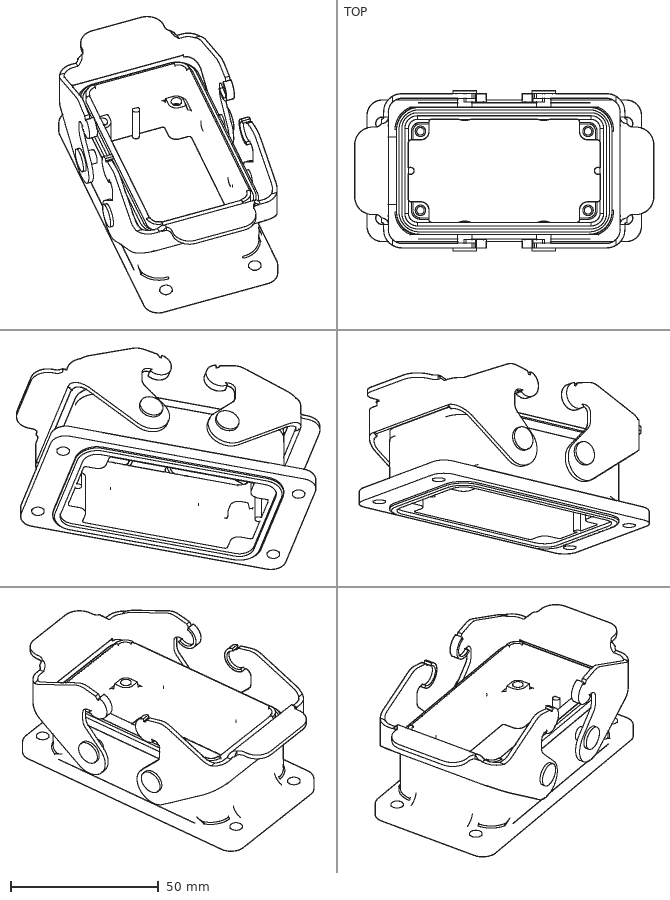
import cadquery as cq
import math


flange_half_x, flange_half_y, flange_corner = 46.5, 24.0, 5.3
flange_bottom, flange_top = 1.2, 6.2
flange_edge_round = 1.0
spigot_chamfer = 0.6
spigot_width = 2.5
flange_hole_d = 4.3
flange_hole_x, flange_hole_y = 41.4, 16.0

body_half_x, body_half_y, body_corner = 36.5, 21.6, 7.7
window_half_x, window_half_y, window_corner = 32.4, 17.4, 3.0
upper_band_z, upper_band_inset = 25.0, 0.1
rim_z, rim_chamfer = 28.9, 0.8
rim_width = 1.0
lip_top, lip_width = 31.0, 1.2

long_foot_radius, long_foot_half_length, long_foot_tip = 1.5, 28.9, 3.0
end_foot_half_length, end_foot_tip = 11.5, 2.9
left_foot_radius, right_foot_radius = 4.9, 2.2
foot_root = 1.5
foot_tip_size = 0.1
corner_foot = 0.5

post_reach = 7.0
post_top_gap, post_foot_gap = 1.5, 1.0
post_top, ledge_top = 17.2, 14.8
ledge_fillet = 0.8
screw_inset = 4.1
screw_d, screw_depth = 2.5, 8.1
screw_mouth_d, screw_mouth_depth = 3.5, 3.0
screw_tip_angle = 118
wall_overlap = 0.5

rib_radius, rib_inset = 1.2, 0.7

pivot_x, pivot_z = 13.4, 18.8
pin_d, pin_head_d, pin_head_height = 4.8, 8.0, 1.0
pin_dome_d, pin_dome_height = 4.3, 0.4

sheet = 1.6
lever_end_x, lever_half_y, lever_bend = 40.9, 26.2, 6.2
lever_end_top, lever_end_bottom = 36.0, 26.9
crest_x, crest_z, crest_radius = -17.0, 44.7, 6.5
back_slope, front_slope = 24.2, 12.8
eye_x, eye_z, eye_radius = -13.8, 16.4, 7.0
eye_left_slope, eye_right_slope = 35.2, 46.0
throat_x, throat_radius, throat_fillet = -16.4, 2.3, 4.1
throat_center_z = 34.0
hook_x, hook_z, hook_radius = -10.6, 38.9, 4.6
hook_lip_width, hook_lip_height = 1.0, 1.2
hook_lip_start, hook_lip_end = 75, -131
hook_notch_width, hook_notch_depth = 0.7, 1.0
notch_slant = 0.8

tab_tip_x, tab_half_y, tab_corner = 50.7, 14.8, 6.0
tab_bend = 0.8
tab_top = lever_end_top + tab_bend + sheet
tab_flare_x, tab_flare_radius = 43.8, 2.5
tab_root_half_y = 18.3

full_edge = 0.99
cut_margin = 1.0


def rounded_block(half_x, half_y, corner, bottom, top):
    """Block centred on Z with rounded vertical edges."""
    block = cq.Workplane("XY").workplane(offset=bottom).rect(2 * half_x, 2 * half_y)
    return block.extrude(top - bottom).edges("|Z").fillet(corner)


def body_block(inset, bottom, top):
    """Block following the housing outline, moved inward by inset."""
    return rounded_block(body_half_x - inset, body_half_y - inset, body_corner - inset, bottom, top)


def window_block(offset, bottom, top):
    """Block following the window outline, moved outward by offset."""
    return rounded_block(
        window_half_x + offset, window_half_y + offset, window_corner + offset, bottom, top
    )


def on_both_sides(shape, plane):
    """The shape together with its mirror image."""
    return shape.union(shape.mirror(plane))


def on_circle(center_x, center_z, radius, degrees):
    angle = math.radians(degrees)
    return (center_x + radius * math.cos(angle), center_z + radius * math.sin(angle))


def make_flange():
    flange = rounded_block(flange_half_x, flange_half_y, flange_corner, flange_bottom, flange_top)
    flange = flange.faces(">Z").edges().fillet(flange_edge_round)
    holes = cq.Workplane("XY").rect(2 * flange_hole_x, 2 * flange_hole_y, forConstruction=True).vertices()
    return flange.cut(holes.circle(flange_hole_d / 2).extrude(flange_top + cut_margin))


def make_wall():
    """Outer housing wall with chamfered rim and a chamfered spigot under the flange."""
    lower = body_block(0, 0, upper_band_z).faces("<Z").edges().chamfer(spigot_chamfer)
    band_half_y = body_half_y - upper_band_inset
    upper = rounded_block(body_half_x, band_half_y, body_corner, upper_band_z, rim_z)
    upper = upper.faces(">Z").edges().chamfer(rim_chamfer)
    return lower.union(upper)


def make_seal_groove():
    """Tapered groove between the rim and the lip."""
    groove_outer = body_half_y - upper_band_inset - rim_chamfer - rim_width - window_half_y
    depth = groove_outer - lip_width
    mouth = window_block(groove_outer, rim_z - depth, rim_z)
    return mouth.faces("<Z").edges().chamfer(full_edge * depth)


def make_lip():
    """Raised lip around the window: round-topped along the walls, flat-topped at the corners."""
    bottom = rim_z - 2 * rim_chamfer
    height = lip_top - bottom
    straight_x = window_half_x - window_corner
    straight_y = window_half_y - window_corner
    ring = window_block(lip_width, bottom, lip_top).cut(window_block(0, bottom, lip_top))
    for length_x, length_y in [
        (2 * straight_x, 4 * window_half_y),
        (4 * window_half_x, 2 * straight_y),
    ]:
        ring = ring.cut(cq.Workplane("XY").box(length_x, length_y, 4 * lip_top))
    middle_z = bottom + height / 2
    long_bar = cq.Workplane("XY").box(2 * straight_x, lip_width, height)
    long_bar = long_bar.faces(">Z").edges("|X").fillet(full_edge * lip_width / 2)
    long_bar = long_bar.translate((0, window_half_y + lip_width / 2, middle_z))
    end_bar = cq.Workplane("XY").box(lip_width, 2 * straight_y, height)
    end_bar = end_bar.faces(">Z").edges("|Y").fillet(full_edge * lip_width / 2)
    end_bar = end_bar.translate((window_half_x + lip_width / 2, 0, middle_z))
    return ring.union(on_both_sides(long_bar, "XZ")).union(on_both_sides(end_bar, "YZ"))


def foot_section(plane, wall, radius):
    """Concave fillet section against a wall, with a root reaching into the wall."""
    middle = radius * (1 - math.sqrt(0.5))
    return (
        plane.moveTo(wall - foot_root, flange_top)
        .lineTo(wall + radius, flange_top)
        .threePointArc((wall + middle, flange_top + middle), (wall, flange_top + radius))
        .lineTo(wall - foot_root, flange_top + radius)
        .close()
    )


def make_foot(wall, radius, half_length, tip):
    """Concave fillet along the +Y wall, tapering away at both ends."""
    straight = foot_section(cq.Workplane("YZ").workplane(offset=-half_length), wall, radius)
    straight = straight.extrude(2 * half_length)
    end = foot_section(cq.Workplane("YZ").workplane(offset=half_length), wall, radius)
    end = foot_section(end.workplane(offset=tip), wall, foot_tip_size).loft(ruled=True)
    return straight.union(on_both_sides(end, "YZ"))


def make_feet():
    long_foot = make_foot(body_half_y, long_foot_radius, long_foot_half_length, long_foot_tip)
    left_foot = make_foot(body_half_x, left_foot_radius, end_foot_half_length, end_foot_tip)
    left_foot = left_foot.rotate((0, 0, 0), (0, 0, 1), 90)
    right_foot = make_foot(body_half_x, right_foot_radius, end_foot_half_length, end_foot_tip)
    right_foot = right_foot.rotate((0, 0, 0), (0, 0, 1), -90)
    collar = body_block(-corner_foot, flange_top - corner_foot, flange_top + corner_foot)
    collar = collar.faces(">Z").edges().chamfer(full_edge * corner_foot)
    return collar.union(on_both_sides(long_foot, "XZ")).union(left_foot).union(right_foot)


def post_section(plane, gap):
    """Post outline leaving a gap to both window walls, with its outer and inner corners rounded."""
    nose_middle = screw_inset + (post_reach - screw_inset) * math.sqrt(0.5)
    back_middle = screw_inset - (screw_inset - gap) * math.sqrt(0.5)
    return (
        plane.moveTo(post_reach, gap)
        .lineTo(post_reach, screw_inset)
        .threePointArc((nose_middle, nose_middle), (screw_inset, post_reach))
        .lineTo(gap, post_reach)
        .lineTo(gap, screw_inset)
        .threePointArc((back_middle, back_middle), (screw_inset, gap))
        .close()
    )


def make_post():
    """Screw post in the +X +Y window corner, drawn from that corner toward the middle."""
    reach, fillet = post_reach, ledge_fillet
    nose = reach - screw_inset
    fillet_middle = fillet * (1 - math.sqrt(0.5))
    nose_middle = screw_inset + nose * math.sqrt(0.5)
    ledge = (
        cq.Workplane("XY")
        .workplane(offset=flange_bottom)
        .moveTo(-wall_overlap, -wall_overlap)
        .lineTo(reach + fillet, -wall_overlap)
        .lineTo(reach + fillet, 0)
        .threePointArc((reach + fillet_middle, fillet_middle), (reach, fillet))
        .lineTo(reach, screw_inset)
        .threePointArc((nose_middle, nose_middle), (screw_inset, reach))
        .lineTo(fillet, reach)
        .threePointArc((fillet_middle, reach + fillet_middle), (0, reach + fillet))
        .lineTo(-wall_overlap, reach + fillet)
        .close()
        .extrude(ledge_top - flange_bottom)
    )
    post = post_section(cq.Workplane("XY").workplane(offset=ledge_top), post_foot_gap)
    post = post_section(post.workplane(offset=post_top - ledge_top), post_top_gap).loft(ruled=True)
    ledge = ledge.union(post).cut(make_screw_hole().translate((screw_inset, screw_inset, post_top)))
    return ledge.rotate((0, 0, 0), (0, 0, 1), 180).translate((window_half_x, window_half_y, 0))


def make_screw_hole():
    """Blind counterbored hole with a drill tip, opening at Z = 0."""
    radius, mouth = screw_d / 2, screw_mouth_d / 2
    tip = radius / math.tan(math.radians(screw_tip_angle / 2))
    profile = [
        (0, 0),
        (mouth, 0),
        (mouth, -screw_mouth_depth),
        (radius, -screw_mouth_depth),
        (radius, -screw_depth),
        (0, -screw_depth - tip),
    ]
    return cq.Workplane("XZ").polyline(profile).close().revolve(360, (0, 0), (0, 1))


def make_window_details():
    posts = on_both_sides(on_both_sides(make_post(), "XZ"), "YZ")
    rib = cq.Workplane("XY", origin=(window_half_x - rib_inset, 0, flange_bottom))
    rib = rib.circle(rib_radius).extrude(ledge_top - flange_bottom)
    return posts.union(on_both_sides(rib, "YZ"))


def make_pin():
    """Headed pivot pin through the +Y wall, domed inside the window."""
    shaft_start = window_half_y + wall_overlap
    head_end = lever_half_y + pin_head_height
    shaft = cq.Workplane("XZ", origin=(0, shaft_start, 0)).circle(pin_d / 2)
    shaft = shaft.extrude(shaft_start - lever_half_y)
    head = cq.Workplane("XZ", origin=(0, lever_half_y, 0)).circle(pin_head_d / 2)
    head = head.extrude(lever_half_y - head_end)
    dome_radius = pin_dome_d / 2
    sphere = (dome_radius**2 + pin_dome_height**2) / (2 * pin_dome_height)
    sphere_center = window_half_y - pin_dome_height + sphere
    half_angle = math.asin(dome_radius / sphere) / 2
    arc_middle = (sphere * math.sin(half_angle), sphere_center - sphere * math.cos(half_angle))
    dome = (
        cq.Workplane("XY")
        .moveTo(0, window_half_y - pin_dome_height)
        .threePointArc(arc_middle, (dome_radius, window_half_y))
        .lineTo(dome_radius, shaft_start)
        .lineTo(0, shaft_start)
        .close()
        .revolve(360, (0, 0), (0, 1))
    )
    return shaft.union(head).union(dome).translate((pivot_x, 0, pivot_z))


def make_lever_strip():
    """Sheet bent to a U around the -X end, full height and open toward +X."""
    length = 2 * lever_end_x
    outer = rounded_block(lever_end_x, lever_half_y, lever_bend, 0, crest_z)
    inner = rounded_block(lever_end_x - sheet, lever_half_y - sheet, lever_bend - sheet, 0, crest_z)
    open_half = cq.Workplane("XY").box(length, 3 * lever_half_y, 3 * crest_z)
    return outer.cut(inner).cut(open_half.translate((length / 2, 0, 0)))


def make_lever_outline():
    """Side outline of a lever arm, as a prism across the whole width."""
    crest_center_z = crest_z - crest_radius
    crest_start = on_circle(crest_x, crest_center_z, crest_radius, 90 + back_slope)
    crest_end = on_circle(crest_x, crest_center_z, crest_radius, 90 - front_slope)
    back_run = (crest_start[1] - lever_end_top) / math.tan(math.radians(back_slope))

    lip_start = on_circle(hook_x, hook_z, hook_radius, hook_lip_start)
    notch_floor = lip_start[1] - hook_notch_depth
    notch_left = lip_start[0] - hook_notch_width
    notch_edge_x = notch_left - notch_slant
    notch_edge_z = crest_end[1] - (notch_edge_x - crest_end[0]) * math.tan(math.radians(front_slope))

    lip_end = on_circle(hook_x, hook_z, hook_radius, hook_lip_end)
    lip_end_inner = on_circle(hook_x, hook_z, hook_radius - hook_lip_width, hook_lip_end)
    hook_middle = on_circle(hook_x, hook_z, hook_radius, (hook_lip_start + hook_lip_end) / 2)
    throat_top = (throat_x + throat_radius, throat_center_z + throat_radius)
    throat_middle = on_circle(throat_top[0], throat_center_z, throat_radius, 135)

    eye_right = on_circle(eye_x, eye_z, eye_radius, 90 - eye_right_slope)
    eye_left = on_circle(eye_x, eye_z, eye_radius, 270 - eye_left_slope)
    eye_low = on_circle(eye_x, eye_z, eye_radius, 270)
    slope = math.radians(eye_right_slope)
    corner_z = eye_right[1] + (eye_right[0] - throat_x) * math.tan(slope)
    tangent = throat_fillet * math.tan((math.pi / 2 - slope) / 2)
    fillet_center = (throat_x + throat_fillet, corner_z + tangent)
    fillet_middle = on_circle(*fillet_center, throat_fillet, 180 + (90 - eye_right_slope) / 2)
    fillet_end = on_circle(*fillet_center, throat_fillet, 270 - eye_right_slope)

    bottom_run = (lever_end_bottom - eye_left[1]) / math.tan(math.radians(eye_left_slope))
    outline = (
        cq.Workplane("XZ")
        .moveTo(-lever_end_x - cut_margin, lever_end_top)
        .lineTo(crest_start[0] - back_run, lever_end_top)
        .lineTo(*crest_start)
        .threePointArc((crest_x, crest_z), crest_end)
        .lineTo(notch_edge_x, notch_edge_z)
        .lineTo(notch_left, notch_floor)
        .lineTo(lip_start[0], notch_floor)
        .lineTo(*lip_start)
        .threePointArc(hook_middle, lip_end)
        .lineTo(*lip_end_inner)
        .lineTo(*throat_top)
        .threePointArc(throat_middle, (throat_x, throat_center_z))
        .lineTo(throat_x, fillet_center[1])
        .threePointArc(fillet_middle, fillet_end)
        .lineTo(*eye_right)
        .threePointArc(eye_low, eye_left)
        .lineTo(eye_left[0] - bottom_run, lever_end_bottom)
        .lineTo(-lever_end_x - cut_margin, lever_end_bottom)
        .close()
    )
    return outline.extrude(2 * lever_half_y, both=True)


def make_hook_lip():
    """Curled edge of the +Y hook, reaching inward from the sheet."""
    inner_radius = hook_radius - hook_lip_width
    middle = (hook_lip_start + hook_lip_end) / 2
    lip_face = lever_half_y - sheet - hook_lip_height
    return (
        cq.Workplane("XZ", origin=(0, lip_face, 0))
        .moveTo(*on_circle(hook_x, hook_z, hook_radius, hook_lip_start))
        .threePointArc(
            on_circle(hook_x, hook_z, hook_radius, middle),
            on_circle(hook_x, hook_z, hook_radius, hook_lip_end),
        )
        .lineTo(*on_circle(hook_x, hook_z, inner_radius, hook_lip_end))
        .threePointArc(
            on_circle(hook_x, hook_z, inner_radius, middle),
            on_circle(hook_x, hook_z, inner_radius, hook_lip_start),
        )
        .close()
        .extrude(-hook_lip_height - sheet)
    )


def make_tab():
    """Finger tab: the end sheet bends outward to horizontal and widens at its root."""
    bend_x = -lever_end_x - tab_bend
    bend_z = lever_end_top
    outer_bend = tab_bend + sheet
    profile = (
        cq.Workplane("XZ")
        .moveTo(-tab_tip_x, tab_top)
        .lineTo(bend_x, tab_top)
        .threePointArc(on_circle(bend_x, bend_z, outer_bend, 45), (bend_x + outer_bend, bend_z))
        .lineTo(bend_x + tab_bend, bend_z)
        .threePointArc(on_circle(bend_x, bend_z, tab_bend, 45), (bend_x, tab_top - sheet))
        .lineTo(-tab_tip_x, tab_top - sheet)
        .close()
        .extrude(2 * tab_half_y, both=True)
    )

    flare_run = tab_flare_x + bend_x
    flare_angle = math.asin(flare_run / tab_flare_radius)
    flare_center_y = tab_half_y + tab_flare_radius
    bend_half_y = flare_center_y - tab_flare_radius * math.cos(flare_angle)
    flare_middle = (
        -tab_flare_x + tab_flare_radius * math.sin(flare_angle / 2),
        flare_center_y - tab_flare_radius * math.cos(flare_angle / 2),
    )
    corner_middle = on_circle(-tab_tip_x + tab_corner, tab_half_y - tab_corner, tab_corner, 135)
    plan_half = (
        cq.Workplane("XY")
        .moveTo(-tab_tip_x, 0)
        .lineTo(-tab_tip_x, tab_half_y - tab_corner)
        .threePointArc(corner_middle, (-tab_tip_x + tab_corner, tab_half_y))
        .lineTo(-tab_flare_x, tab_half_y)
        .threePointArc(flare_middle, (bend_x, bend_half_y))
        .lineTo(bend_x, 0)
        .close()
        .extrude(2 * tab_top)
    )
    root_half = (
        cq.Workplane("YZ", origin=(bend_x, 0, 0))
        .moveTo(0, tab_top)
        .lineTo(bend_half_y, tab_top)
        .lineTo(tab_root_half_y, lever_end_top)
        .lineTo(0, lever_end_top)
        .close()
        .extrude(2 * outer_bend)
    )
    return profile.intersect(on_both_sides(plan_half.union(root_half), "XZ"))


def make_lever():
    arms = make_lever_strip().intersect(make_lever_outline())
    below = cq.Workplane("XY").box(2 * lever_end_x, 2 * (lever_half_y - lever_bend), lever_end_bottom)
    arms = arms.cut(below.translate((0, 0, lever_end_bottom / 2)))
    return arms.union(on_both_sides(make_hook_lip(), "XZ")).union(make_tab())


housing = make_flange().union(make_wall()).union(make_feet())
housing = housing.cut(make_seal_groove()).union(make_lip())
housing = housing.cut(window_block(0, -cut_margin, lip_top + cut_margin))
housing = housing.cut(body_block(spigot_width, -cut_margin, flange_bottom))
housing = housing.union(make_window_details())

pins = on_both_sides(on_both_sides(make_pin(), "XZ"), "YZ")
levers = on_both_sides(make_lever(), "YZ")

result = housing.union(pins).union(levers)